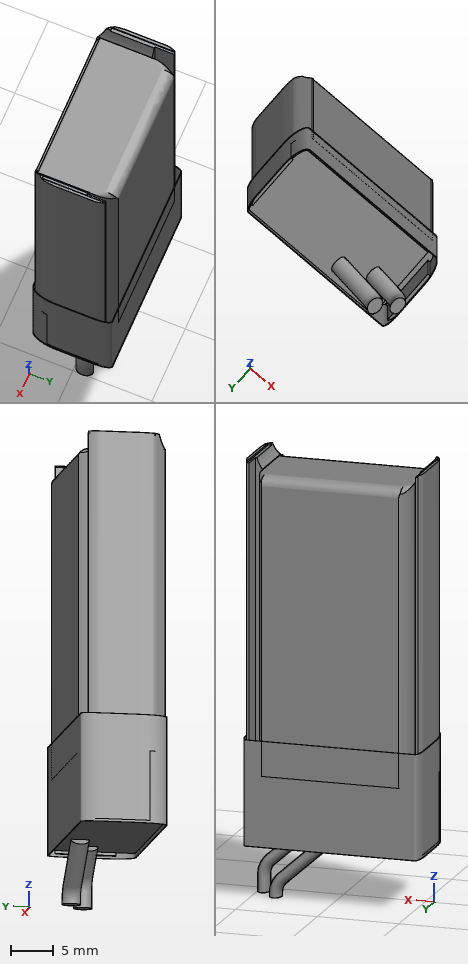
import cadquery as cq
import math

TOTAL_HEIGHT = 52.75
SLEEVE_BOTTOM = 6.35
SLEEVE_TOP = 19.2
CELL_BOTTOM = 14.95
CELL_TOP = 51.1

SLEEVE_HALF_WIDTH = 21.8 / 2
SLEEVE_HALF_DEPTH = 10.35 / 2
SLEEVE_WALL = 0.08
FRONT_TANGENT_X = 9.65
FRONT_TANGENT_Y = -1.75
REAR_TANGENT_X = 10.35
REAR_TANGENT_Y = 3.1

CELL_HALF_WIDTH = 9.35
CELL_REAR_Y = SLEEVE_HALF_DEPTH - SLEEVE_WALL
CELL_FRONT_Y = -4.8
CELL_REAR_HALF_WIDTH = 8.4
CELL_CORNER_MID = (9.0, 3.95)
CELL_CORNER_START_Y = 2.55
CELL_FACET_START = (8.75, 4.55)
CELL_ROUNDING_HEIGHT = 1.05
CELL_REAR_ROUNDING = (3.6, 0, CELL_REAR_Y - 3.6)
CELL_CORNER_ROUNDINGS = [(9.1, -59, 0.8), (9.1, 59, 0.8)]
CELL_FRONT_FILLET = 0.35
FILM_FRONT_Y = -5.05
FILM_HALF_WIDTH = 9.05
FILM_TOP = 50.85

FLAP_CONTACT_END = (10.7, -3.25)
FLAP_BEND_MID = (10.55, -3.65)
FLAP_BEND_END = (10.25, -4.05)
FLAP_FOOT_X = 9.3
FLAP_REAR_Y = 4.25
FLAP_REAR_X = 10.5
FLAP_REAR_BEND_MID = (10.65, 3.9)
FLAP_INNER_X = 10.2
FLAP_ROOT_Y = 1.85
FLAP_SWEEP_MID = (9.75, 51.85)
FLAP_SWEEP_END_X = 10.1
FLAP_LEDGE_X = 10.45
FLAP_LEDGE_FRONT_Y = -3.7
FLAP_LEDGE_DEPTH = 0.2
FLAP_TAIL_INNER_X = 10.4
FLAP_TAIL_FRONT_Y = -2.95

BLOCK_BOTTOM = 6.65
BLOCK_RIGHT_X = 8.7
BLOCK_INSET = 0.25

WIRE_RADIUS_X = 1.5 / 2
WIRE_RADIUS_Y = 2.15 / 2
WIRE_BEND_RADIUS = 2.4
WIRE_BEND_ANGLE = math.radians(48)
WIRE_END_Z = 6.55
WIRES = [(7.35, 2.95, 0.4), (9.35, 1.2, 2.05)]


def oval_prism(inset, bottom, top):
    """Prism of the sleeve outline, moved inwards by the inset."""
    half_width = SLEEVE_HALF_WIDTH - inset
    half_depth = SLEEVE_HALF_DEPTH - inset
    front_radii = (half_width - FRONT_TANGENT_X, half_depth + FRONT_TANGENT_Y)
    rear_radii = (half_width - REAR_TANGENT_X, half_depth - REAR_TANGENT_Y)
    return (
        cq.Workplane("XY", origin=(0, 0, bottom))
        .moveTo(-FRONT_TANGENT_X, -half_depth)
        .lineTo(FRONT_TANGENT_X, -half_depth)
        .ellipseArc(*front_radii, 270, 360)
        .lineTo(half_width, REAR_TANGENT_Y)
        .ellipseArc(*rear_radii, 0, 90)
        .lineTo(-REAR_TANGENT_X, half_depth)
        .ellipseArc(*rear_radii, 90, 180)
        .lineTo(-half_width, FRONT_TANGENT_Y)
        .ellipseArc(*front_radii, 180, 270)
        .close()
        .extrude(top - bottom)
    )


def make_sleeve():
    outside = oval_prism(0, SLEEVE_BOTTOM, SLEEVE_TOP)
    return outside.cut(oval_prism(SLEEVE_WALL, SLEEVE_BOTTOM, SLEEVE_TOP))


def mirrored(point):
    """The same point on the other side of the YZ plane."""
    x, y = point
    return (-x, y)


def rounding_cut(distance, angle, depth):
    """Waste above a quarter ellipse that rounds the cell's +Y top edge, turned about Z."""
    return (
        cq.Workplane("YZ", origin=(-SLEEVE_HALF_WIDTH, 0, 0))
        .moveTo(distance + depth, CELL_TOP - CELL_ROUNDING_HEIGHT)
        .ellipseArc(depth, CELL_ROUNDING_HEIGHT, 0, 90)
        .lineTo(distance + depth, CELL_TOP)
        .close()
        .extrude(2 * SLEEVE_HALF_WIDTH)
        .rotate((0, 0, 0), (0, 0, 1), angle)
    )


def make_cell():
    """Pouch with rounded rear corners and top edges, and a flat film on its front."""
    pouch = (
        cq.Workplane("XY", origin=(0, 0, CELL_BOTTOM))
        .moveTo(-CELL_HALF_WIDTH, CELL_FRONT_Y)
        .lineTo(CELL_HALF_WIDTH, CELL_FRONT_Y)
        .lineTo(CELL_HALF_WIDTH, CELL_CORNER_START_Y)
        .threePointArc(CELL_CORNER_MID, (CELL_REAR_HALF_WIDTH, CELL_REAR_Y))
        .lineTo(-CELL_REAR_HALF_WIDTH, CELL_REAR_Y)
        .threePointArc(mirrored(CELL_CORNER_MID), (-CELL_HALF_WIDTH, CELL_CORNER_START_Y))
        .close()
        .extrude(CELL_TOP - CELL_BOTTOM)
    )
    pouch = pouch.faces(">Z").edges("<Y").fillet(CELL_FRONT_FILLET)
    facet_cut = (
        cq.Workplane("XY", origin=(0, 0, CELL_BOTTOM))
        .moveTo(CELL_REAR_HALF_WIDTH, CELL_REAR_Y)
        .lineTo(*CELL_FACET_START)
        .lineTo(CELL_HALF_WIDTH, CELL_FACET_START[1])
        .lineTo(CELL_HALF_WIDTH, CELL_REAR_Y)
        .close()
        .extrude(CELL_TOP - CELL_BOTTOM)
    )
    pouch = pouch.cut(facet_cut).cut(facet_cut.mirror("YZ"))
    for rounding in [CELL_REAR_ROUNDING, *CELL_CORNER_ROUNDINGS]:
        pouch = pouch.cut(rounding_cut(*rounding))
    film_depth = CELL_FRONT_Y - FILM_FRONT_Y
    film = cq.Workplane("XY").box(
        2 * FILM_HALF_WIDTH, film_depth, FILM_TOP - CELL_BOTTOM, centered=(True, False, False)
    ).translate((0, FILM_FRONT_Y, CELL_BOTTOM))
    return pouch.union(film)


def make_flap():
    """Right-hand flap: folded back along the cell, swept down at the top, with a thin tail below."""
    side_x = SLEEVE_HALF_WIDTH - SLEEVE_WALL
    flap = (
        cq.Workplane("XY", origin=(0, 0, BLOCK_BOTTOM))
        .moveTo(FILM_HALF_WIDTH, FILM_FRONT_Y)
        .lineTo(FLAP_FOOT_X, FILM_FRONT_Y)
        .lineTo(*FLAP_BEND_END)
        .threePointArc(FLAP_BEND_MID, FLAP_CONTACT_END)
        .lineTo(side_x, FLAP_CONTACT_END[1])
        .lineTo(side_x, REAR_TANGENT_Y)
        .threePointArc(FLAP_REAR_BEND_MID, (FLAP_REAR_X, FLAP_REAR_Y))
        .lineTo(FLAP_INNER_X, FLAP_REAR_Y)
        .lineTo(FLAP_INNER_X, FLAP_ROOT_Y)
        .lineTo(CELL_HALF_WIDTH, FLAP_ROOT_Y)
        .lineTo(CELL_HALF_WIDTH, CELL_FRONT_Y)
        .lineTo(FILM_HALF_WIDTH, CELL_FRONT_Y)
        .close()
        .extrude(TOTAL_HEIGHT - BLOCK_BOTTOM)
    )
    sweep_cut = (
        cq.Workplane("XZ")
        .moveTo(0, CELL_TOP)
        .lineTo(FLAP_FOOT_X, CELL_TOP)
        .threePointArc(FLAP_SWEEP_MID, (FLAP_SWEEP_END_X, TOTAL_HEIGHT))
        .lineTo(0, TOTAL_HEIGHT)
        .close()
        .extrude(SLEEVE_HALF_DEPTH, both=True)
    )
    ledge_cut = cq.Workplane("XY").box(
        FLAP_LEDGE_X, FLAP_REAR_Y - FLAP_LEDGE_FRONT_Y, FLAP_LEDGE_DEPTH, centered=False
    ).translate((0, FLAP_LEDGE_FRONT_Y, TOTAL_HEIGHT - FLAP_LEDGE_DEPTH))
    tail_trims = [
        ((0, -SLEEVE_HALF_DEPTH), (FLAP_TAIL_INNER_X, SLEEVE_HALF_DEPTH)),
        ((0, -SLEEVE_HALF_DEPTH), (SLEEVE_HALF_WIDTH, FLAP_TAIL_FRONT_Y)),
    ]
    sleeve_inside = oval_prism(SLEEVE_WALL, BLOCK_BOTTOM, TOTAL_HEIGHT)
    flap = flap.intersect(sleeve_inside).cut(sweep_cut).cut(ledge_cut)
    for (left, front), (right, rear) in tail_trims:
        trim = cq.Workplane("XY").box(right - left, rear - front, CELL_BOTTOM, centered=False)
        flap = flap.cut(trim.translate((left, front, 0)))
    return flap


def make_wire(lower_x, y, straight_height):
    """Wire rising straight, then leaning towards -X up to its end in the block."""
    bend_shift = WIRE_BEND_RADIUS * (1 - math.cos(WIRE_BEND_ANGLE))
    bend_mid_shift = WIRE_BEND_RADIUS * (1 - math.cos(WIRE_BEND_ANGLE / 2))
    bend_top = straight_height + WIRE_BEND_RADIUS * math.sin(WIRE_BEND_ANGLE)
    bend_mid_height = straight_height + WIRE_BEND_RADIUS * math.sin(WIRE_BEND_ANGLE / 2)
    lean_shift = (WIRE_END_Z - bend_top) * math.tan(WIRE_BEND_ANGLE)
    path = (
        cq.Workplane("XZ", origin=(lower_x, y, 0))
        .lineTo(0, straight_height)
        .threePointArc((-bend_mid_shift, bend_mid_height), (-bend_shift, bend_top))
        .lineTo(-bend_shift - lean_shift, WIRE_END_Z)
    )
    section = cq.Workplane("XY", origin=(lower_x, y, 0)).ellipse(WIRE_RADIUS_X, WIRE_RADIUS_Y)
    return section.sweep(path)


def make_block(neighbours):
    """Block below the cell, cut short at its +X end and relieved for the flap tails and the wires."""
    block = oval_prism(BLOCK_INSET, BLOCK_BOTTOM, CELL_BOTTOM)
    right_end = cq.Workplane("XY").box(
        SLEEVE_HALF_WIDTH, 2 * SLEEVE_HALF_DEPTH, SLEEVE_TOP, centered=(False, True, False)
    ).translate((BLOCK_RIGHT_X, 0, 0))
    block = block.cut(right_end)
    for neighbour in neighbours:
        block = block.cut(neighbour)
    return block


sleeve = make_sleeve()
cell = make_cell()
right_flap = make_flap()
flaps = [right_flap, right_flap.mirror("YZ")]
wires = [make_wire(*place) for place in WIRES]
block = make_block(flaps + wires)

result = cq.Compound.makeCompound(
    [
        sleeve.val(),
        cell.val(),
        block.val(),
        *[flap.val() for flap in flaps],
        *[wire.val() for wire in wires],
    ]
)